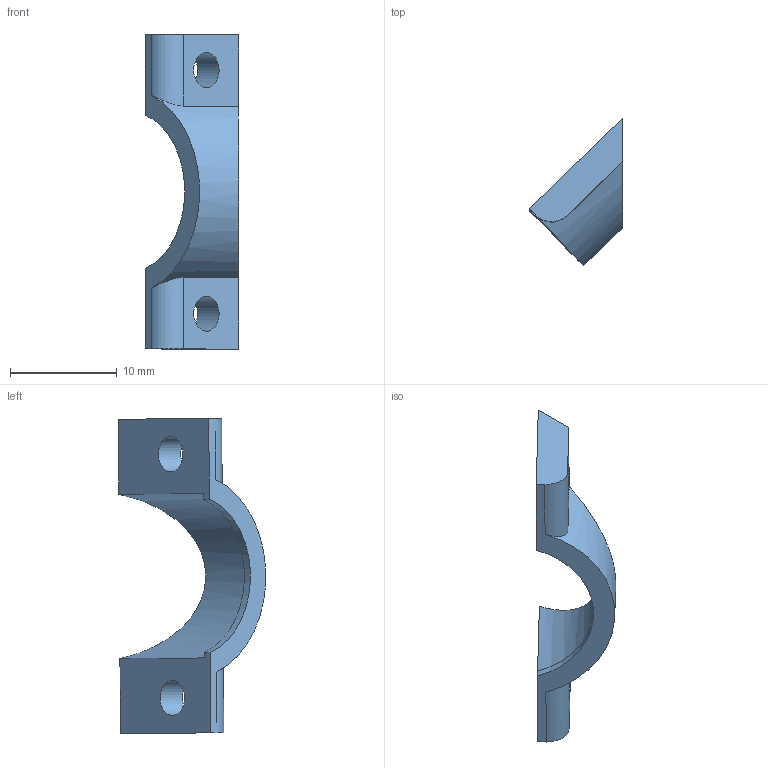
import cadquery as cq
import math

PART_WIDTH_X = 8.73
CLAMP_HEIGHT = 29.42
FLANGE_THICKNESS = 2.9
ARCH_OUTER_RADIUS = 9.5
BORE_RADIUS = 8.0
LIP_RADIUS = 7.5
LIP_LENGTH = 0.8
AXIS_SETBACK = 2.2
END_ROUND_RADIUS = 2.1
HOLE_DIAMETER = 3.3
HOLE_SPACING = 22.8
HOLE_FROM_END = 5.15
CLAMP_YAW = 44.1
CLAMP_TILT = -0.37

BLANK_LENGTH = PART_WIDTH_X / math.cos(math.radians(CLAMP_YAW)) + FLANGE_THICKNESS
ARCH_DEPTH = ARCH_OUTER_RADIUS - AXIS_SETBACK
CUT_SIZE = 2 * CLAMP_HEIGHT



def bore_cylinder(radius, length):
    """Cylinder on the bore axis, starting at the square end."""
    return cq.Workplane("YZ").center(AXIS_SETBACK, 0).circle(radius).extrude(length)


def flange_plate():
    """Full-height plate with its outer edge rounded at the square end."""
    plate = cq.Workplane("XY").box(
        BLANK_LENGTH, FLANGE_THICKNESS, CLAMP_HEIGHT, centered=(False, False, True)
    ).translate((0, -FLANGE_THICKNESS, 0))
    return plate.edges("|Z and <X and <Y").fillet(END_ROUND_RADIUS)


def arch():
    """Part of the outer cylinder in front of the clamping face."""
    front_half = cq.Workplane("XY").box(
        BLANK_LENGTH, ARCH_DEPTH, CLAMP_HEIGHT, centered=(False, False, True)
    ).translate((0, -ARCH_DEPTH, 0))
    return bore_cylinder(ARCH_OUTER_RADIUS, BLANK_LENGTH).intersect(front_half)


def stepped_bore():
    """Main bore with the narrower lip at the square end."""
    main_bore = bore_cylinder(BORE_RADIUS, BLANK_LENGTH).translate((LIP_LENGTH, 0, 0))
    return main_bore.union(bore_cylinder(LIP_RADIUS, BLANK_LENGTH))


def screw_holes():
    """One hole through each flange."""
    return (
        cq.Workplane("XZ")
        .pushPoints([(HOLE_FROM_END, side * HOLE_SPACING / 2) for side in (-1, 1)])
        .circle(HOLE_DIAMETER / 2)
        .extrude(FLANGE_THICKNESS)
    )


def oblique_end_cut():
    """Block beyond the plane that trims the far end of the turned clamp."""
    return cq.Workplane("XY").box(
        CUT_SIZE, CUT_SIZE, CUT_SIZE, centered=(False, True, True)
    ).translate((PART_WIDTH_X, 0, 0))


clamp = flange_plate().union(arch()).cut(stepped_bore()).cut(screw_holes())
turned_clamp = clamp.rotate((0, 0, 0), (0, 0, 1), CLAMP_YAW).rotate((0, 0, 0), (1, 0, 0), CLAMP_TILT)
result = turned_clamp.cut(oblique_end_cut())